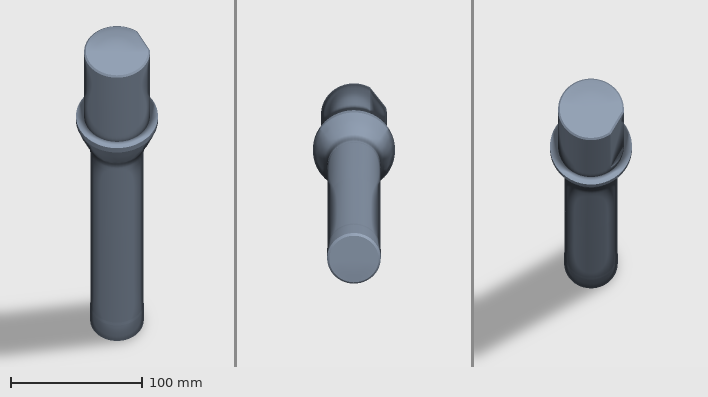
import cadquery as cq

TOTAL_LENGTH = 332.0
JOINT_Z = 128.8
BODY_DIAMETER = 40.5
BAND_DIAMETER = 40.8

FOOT_HEIGHT = 20.5
FOOT_TAPER_HEIGHT = 3.3
FOOT_CHAMFER_HEIGHT = 1.5
FOOT_CHAMFER_WIDTH = 1.5

NECK_BAND_BOTTOM_Z = 209.8
NECK_BAND_TOP_Z = 214.8
COLLAR_DIAMETER = 62.5
COLLAR_TOP_Z = 252.0
COLLAR_THICKNESS = 5.3
FLARE_FILLET_RADIUS = 15.0
FLARE_FILLET_HEIGHT = 6.3
SHANK_DIAMETER = 50.0
SHANK_CHAMFER = 1.3
FLAT_DISTANCE = 23.0
FLAT_BOTTOM_Z = 256.5
FLAT_RUNOUT_HEIGHT = 2.3

BODY_RADIUS = BODY_DIAMETER / 2
BAND_RADIUS = BAND_DIAMETER / 2
COLLAR_RADIUS = COLLAR_DIAMETER / 2
SHANK_RADIUS = SHANK_DIAMETER / 2


def make_lower_bar():
    """Turned bar from the foot up to the joint."""
    profile = (
        cq.Workplane("XZ")
        .moveTo(0, 0)
        .lineTo(BAND_RADIUS - FOOT_CHAMFER_WIDTH, 0)
        .lineTo(BAND_RADIUS, FOOT_CHAMFER_HEIGHT)
        .lineTo(BAND_RADIUS, FOOT_HEIGHT)
        .lineTo(BODY_RADIUS, FOOT_HEIGHT + FOOT_TAPER_HEIGHT)
        .lineTo(BODY_RADIUS, JOINT_Z)
        .lineTo(0, JOINT_Z)
        .close()
    )
    return profile.revolve(360, (0, 0), (0, 1))


def make_flat_cutter():
    """Prism that cuts the flat, with a sloped run-out just above the collar."""
    outer_y = SHANK_RADIUS + 3.3
    return (
        cq.Workplane("YZ")
        .moveTo(FLAT_DISTANCE, TOTAL_LENGTH)
        .lineTo(FLAT_DISTANCE, FLAT_BOTTOM_Z + FLAT_RUNOUT_HEIGHT)
        .lineTo(SHANK_RADIUS, FLAT_BOTTOM_Z)
        .lineTo(outer_y, FLAT_BOTTOM_Z)
        .lineTo(outer_y, TOTAL_LENGTH)
        .close()
        .extrude(SHANK_RADIUS, both=True)
    )


def make_upper_holder():
    """Turned neck, flared collar and shank, with one flat on the shank."""
    collar_bottom_z = COLLAR_TOP_Z - COLLAR_THICKNESS
    flare_start_z = NECK_BAND_TOP_Z + FLARE_FILLET_HEIGHT
    fillet_run = (FLARE_FILLET_RADIUS**2 - FLARE_FILLET_HEIGHT**2) ** 0.5
    flare_start_radius = BAND_RADIUS + FLARE_FILLET_RADIUS - fillet_run
    profile = (
        cq.Workplane("XZ")
        .moveTo(0, JOINT_Z)
        .lineTo(BODY_RADIUS, JOINT_Z)
        .lineTo(BODY_RADIUS, NECK_BAND_BOTTOM_Z)
        .lineTo(BAND_RADIUS, NECK_BAND_BOTTOM_Z)
        .lineTo(BAND_RADIUS, NECK_BAND_TOP_Z)
        .tangentArcPoint((flare_start_radius, flare_start_z), relative=False)
        .tangentArcPoint((COLLAR_RADIUS, collar_bottom_z), relative=False)
        .lineTo(COLLAR_RADIUS, COLLAR_TOP_Z)
        .lineTo(SHANK_RADIUS, COLLAR_TOP_Z)
        .lineTo(SHANK_RADIUS, TOTAL_LENGTH)
        .lineTo(0, TOTAL_LENGTH)
        .close()
    )
    holder = profile.revolve(360, (0, 0), (0, 1)).cut(make_flat_cutter())
    return holder.faces(">Z").edges().chamfer(SHANK_CHAMFER)


lower_bar = make_lower_bar()
upper_holder = make_upper_holder()

result = cq.Compound.makeCompound([lower_bar.val(), upper_holder.val()])